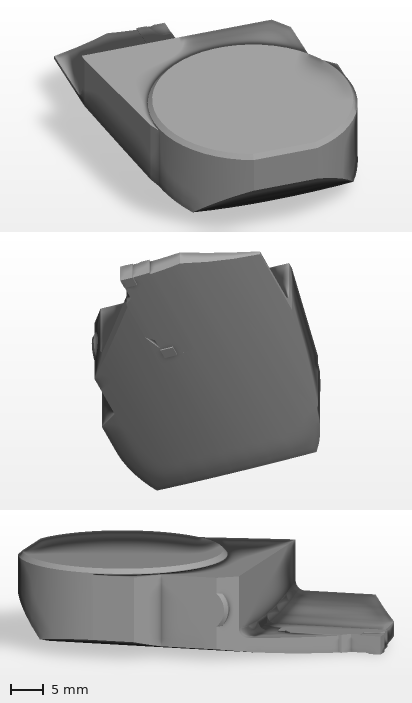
import cadquery as cq
import math


cap_radius = 16.0
cap_height = 1.0
cap_chamfer = 0.7
undercut_height = 0.2
undercut_depth = 0.45
flat_x = 15.15

block_front_x = -21.55
front_side_y = -20.0
back_side_y = 12.7
blade_tip_x = -40.35
blade_tip_y = -9.3
slant_start = (-34.6, 1.35)
slant_end = (-18.6, back_side_y)
blade_corner_x = -34.2
front_side_end_x = -20.35
taper_end = (0.3, -16.55)
front_arc_x = 2.1
front_arc_y = -math.sqrt(cap_radius**2 - front_arc_x**2)
shoulder_x = -6.5
shoulder_end_x = shoulder_x - (cap_radius - back_side_y)
blade_root_fillet = 1.45
bottom_z = -12.85
bottom_radius = 46.95
blade_top_z = -10.2
blade_top_radius = 84.7
rear_chamfer_x = 7.5

boss_radius = 3.8
boss_x = -16.5
boss_z = -5.0
boss_length = 2.8
boss_chamfer = 0.5

insert_tip_x = -40.95
insert_front_x = -40.75
insert_front_y = -4.5
insert_back_y = 0.15
insert_top_z = -10.05
hump_y = slant_start[1]
hump_start_x = -35.1
hump_end_x = -26.9
hump_bevel = 1.1
pocket_top_z = -9.0
pocket_relief_x = -23.85
tip_depth = 0.15
tip_length = 1.9
tip_width = 2.0
chip_length = 3.2
chip_depth = 0.15
chip_outer_y = -3.0
chip_inner_y = -1.8

cut_span = 112.2
cut_depth = 33.65


def prism(points, z_low, z_high):
    return cq.Workplane("XY").workplane(offset=z_low).polyline(points).close().extrude(z_high - z_low)


def lengthwise_cylinder(lowest_z, radius):
    """Cylinder along X whose lowest line lies at Y = 0."""
    return (
        cq.Workplane("YZ").workplane(offset=-cut_span / 2)
        .center(0, lowest_z + radius).circle(radius).extrude(cut_span)
    )


def make_insert():
    outline = [
        (insert_front_x, insert_front_y),
        (block_front_x, insert_front_y),
        (block_front_x, insert_back_y),
        (hump_end_x + hump_bevel, insert_back_y),
        (hump_end_x, hump_y),
        (hump_start_x, hump_y),
        (hump_start_x - hump_bevel, insert_back_y),
        (insert_front_x, insert_back_y),
    ]
    insert = prism(outline, bottom_z - tip_depth, insert_top_z)
    underside = lengthwise_cylinder(bottom_z, bottom_radius)
    body = insert.intersect(underside)
    for end_x, inward in ((insert_tip_x, 1), (block_front_x, -1)):
        tip = [
            (end_x, insert_back_y),
            (end_x + inward * tip_length, insert_back_y),
            (end_x + inward * tip_length, insert_back_y - tip_width),
            (end_x, insert_back_y - tip_width),
        ]
        body = body.union(prism(tip, bottom_z - tip_depth, insert_top_z))
        recess = [
            (end_x, insert_back_y),
            (end_x + inward * chip_length, insert_back_y),
            (end_x + inward * chip_length, chip_inner_y),
            (end_x, chip_outer_y),
        ]
        body = body.cut(prism(recess, insert_top_z - chip_depth, insert_top_z))
    return body


def make_block():
    return (
        cq.Workplane("XY").workplane(offset=bottom_z)
        .moveTo(blade_tip_x, insert_front_y)
        .lineTo(blade_tip_x, blade_tip_y)
        .lineTo(blade_corner_x, front_side_y)
        .lineTo(front_side_end_x, front_side_y)
        .lineTo(*taper_end)
        .lineTo(front_arc_x, front_arc_y)
        .threePointArc((cap_radius, 0), (0, cap_radius))
        .lineTo(shoulder_x, cap_radius)
        .lineTo(shoulder_end_x, back_side_y)
        .lineTo(*slant_end)
        .lineTo(*slant_start)
        .lineTo(slant_start[0], insert_front_y)
        .close().extrude(-bottom_z)
    )


def make_blade_clearance():
    """Space above the blade in front of the block, with the root fillet on its lower rear edge."""
    space = cq.Workplane("XY").box(
        cut_span, cut_span, cut_depth, centered=(False, True, True)
    ).translate((block_front_x - cut_span, 0, 0))
    above_blade = lengthwise_cylinder(blade_top_z, blade_top_radius)
    clearance = space.intersect(above_blade)
    return clearance.faces(">X").edges("%CIRCLE").fillet(blade_root_fillet)


def make_pocket():
    """Insert seat, with a clearance behind the hump and a notch through the root fillet."""
    seat = [
        (insert_tip_x, insert_front_y),
        (block_front_x, insert_front_y),
        (block_front_x, insert_back_y),
        (pocket_relief_x, insert_back_y),
        (hump_end_x, hump_y),
        (insert_tip_x, hump_y),
    ]
    return prism(seat, bottom_z - tip_depth, pocket_top_z)


def make_rear_chamfer():
    leg = 2 * (flat_x - rear_chamfer_x)
    return (
        cq.Workplane("XZ").workplane(offset=-cut_span / 2)
        .moveTo(rear_chamfer_x, bottom_z)
        .lineTo(rear_chamfer_x + leg, bottom_z)
        .lineTo(rear_chamfer_x + leg, bottom_z + leg)
        .close().extrude(cut_span)
    )


def make_boss():
    return (
        cq.Workplane("XZ", origin=(boss_x, back_side_y, boss_z))
        .circle(boss_radius).extrude(boss_length)
        .faces(">Y").chamfer(boss_chamfer)
    )


def make_cap():
    rim_height = cap_height - cap_chamfer
    return (
        cq.Workplane("XZ")
        .moveTo(0, 0)
        .lineTo(cap_radius - undercut_depth, 0)
        .lineTo(cap_radius, undercut_height)
        .lineTo(cap_radius, rim_height)
        .lineTo(cap_radius - cap_chamfer, cap_height)
        .lineTo(0, cap_height)
        .close().revolve(360, (0, 0, 0), (0, 1, 0))
    )


def make_flush_rim():
    """Fill of the undercut where the cap is flush with the round rear side of the block."""
    return (
        cq.Workplane("XY")
        .moveTo(0, -cap_radius)
        .threePointArc((cap_radius, 0), (0, cap_radius))
        .close().extrude(undercut_height)
    )


def make_flat():
    """Material behind the rear flat, sloping in with the chamfer of the cap."""
    return (
        cq.Workplane("XZ").workplane(offset=-cut_span / 2)
        .moveTo(flat_x, -cut_depth)
        .lineTo(flat_x, cap_height - cap_chamfer)
        .lineTo(flat_x - cap_chamfer, cap_height)
        .lineTo(flat_x + cut_span, cap_height)
        .lineTo(flat_x + cut_span, -cut_depth)
        .close().extrude(cut_span)
    )


def make_holder():
    holder = make_block().cut(make_blade_clearance())
    holder = holder.intersect(lengthwise_cylinder(bottom_z, bottom_radius))
    holder = holder.union(make_boss()).union(make_cap()).union(make_flush_rim())
    return holder.cut(make_flat()).cut(make_rear_chamfer()).cut(make_pocket())


holder = make_holder()
insert = make_insert()

result = cq.Compound.makeCompound([holder.val(), insert.val()])